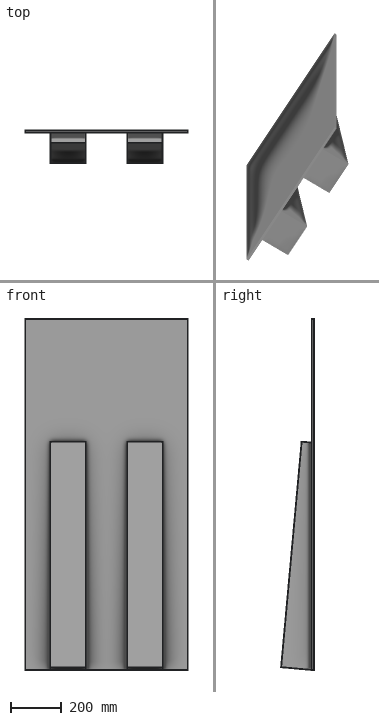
import cadquery as cq
import math

panel_width = 640.0
panel_height = 1380.0
panel_thickness = 10.0

rib_width = 140.0
rib_spacing = 301.0
rib_back_height = 894.0
rib_depth = 120.0
lean_angle = math.radians(5.2)


def make_panel():
    return cq.Workplane("XY").box(
        panel_width, panel_thickness, panel_height, centered=(True, False, False)
    ).translate((0, -panel_thickness, 0))


def make_rib(center_x):
    """Wedge standing on the front face of the panel, narrowing upwards."""
    back_y = -panel_thickness
    low_front_y = back_y - rib_depth
    low_front_z = rib_depth * math.tan(lean_angle)
    front_length = rib_back_height * math.cos(lean_angle)
    high_front_y = low_front_y + front_length * math.sin(lean_angle)
    high_front_z = low_front_z + front_length * math.cos(lean_angle)
    return (
        cq.Workplane("YZ", origin=(center_x - rib_width / 2, 0, 0))
        .moveTo(back_y, 0)
        .lineTo(low_front_y, low_front_z)
        .lineTo(high_front_y, high_front_z)
        .lineTo(back_y, rib_back_height)
        .close()
        .extrude(rib_width)
    )


panel = make_panel()
ribs = [make_rib(side * rib_spacing / 2) for side in (-1, 1)]

result = cq.Compound.makeCompound([panel.val(), *[rib.val() for rib in ribs]])